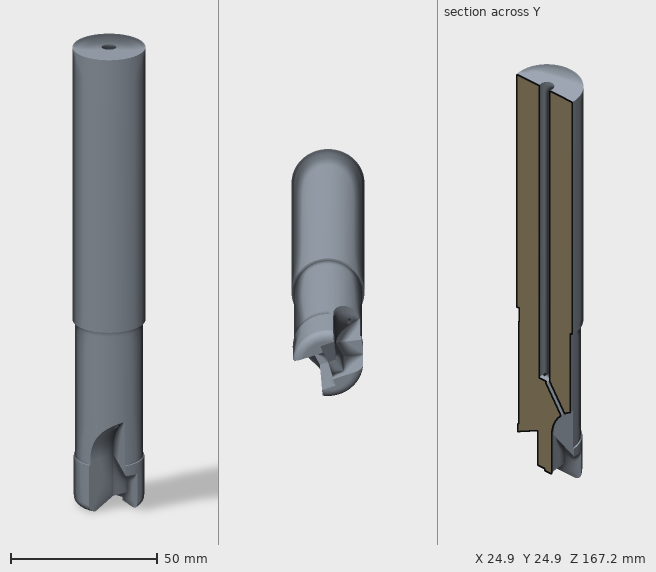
import cadquery as cq
import math

total_length = 167.2
shank_diameter = 24.9
neck_diameter = 23.0
head_diameter = 24.0
shank_bottom = 67.2
head_top = 17.5
nose_radius = 3.0

floor_offset = 5.5
floor_edge_y = -10.4
floor_tilt = 14
floor_top = 19.5
runout_top = 33.8
root_x = floor_offset + floor_edge_y * math.tan(math.radians(floor_tilt))

seat_depth = 5.2
seat_wall_tilt = 9
seat_inner_height = 17.5
seat_outer_height = 14.0
seat_roof_drop = 1.2

web_clearance = 3.5
seat_clearance = 4.3
relief_width = 7.7

bore_diameter = 5.0
bore_bottom = 41.8
branch_diameter = 2.0
branch_y = 1.3
branch_exit_x = 8.7
branch_exit_z = 30.0
branch_overrun = 1.2

cut_reach = shank_diameter


def make_body():
    head = cq.Workplane("XY").circle(head_diameter / 2).extrude(head_top)
    head = head.faces("<Z").edges().fillet(nose_radius)
    neck = cq.Workplane("XY").workplane(offset=head_top).circle(neck_diameter / 2)
    shank = cq.Workplane("XY").workplane(offset=shank_bottom).circle(shank_diameter / 2)
    return head.union(neck.extrude(shank_bottom - head_top)).union(shank.extrude(total_length - shank_bottom))


def make_flute():
    """Open the +X, -Y quadrant."""
    rise = runout_top - floor_top
    run = neck_diameter / 2 - root_x
    runout_radius = (rise**2 + run**2) / (2 * run)
    half_angle = math.asin(rise / runout_radius) / 2
    mid_x = root_x + runout_radius * (1 - math.cos(half_angle))
    mid_z = floor_top + runout_radius * math.sin(half_angle)
    channel = (
        cq.Workplane("XZ")
        .moveTo(root_x, 0)
        .lineTo(root_x, floor_top)
        .threePointArc((mid_x, mid_z), (neck_diameter / 2, runout_top))
        .lineTo(cut_reach, runout_top)
        .lineTo(cut_reach, 0)
        .close()
        .extrude(cut_reach, both=True)
        .rotate((root_x, 0, 0), (root_x, 0, 1), floor_tilt)
    )
    front_half = cq.Workplane("XY").box(4 * cut_reach, 2 * cut_reach, 2 * shank_bottom)
    front_half = front_half.translate((0, -cut_reach, 0))
    return channel.intersect(front_half)


def seat_outline(y, drop):
    """Wire of the seat at depth y; its roof falls outwards along X."""
    slope = (seat_inner_height - seat_outer_height) / (head_diameter / 2 - floor_offset)
    outer_height = seat_inner_height - slope * (cut_reach - floor_offset)
    wall_x = root_x + y * math.tan(math.radians(seat_wall_tilt))
    inner_height = seat_inner_height - slope * (wall_x - floor_offset)
    points = [
        cq.Vector(wall_x, y, 0),
        cq.Vector(cut_reach, y, 0),
        cq.Vector(cut_reach, y, outer_height - drop),
        cq.Vector(wall_x, y, inner_height - drop),
    ]
    return cq.Wire.makePolygon(points, close=True)


def make_seat():
    """Insert seat behind the flute wall, with its roof lower towards the back."""
    outlines = [seat_outline(0, 0), seat_outline(seat_depth, seat_roof_drop)]
    return cq.Workplane(cq.Solid.makeLoft(outlines, True))


def make_web_relief():
    """Clearance below the +X half of the web, sloping away on the flute side."""
    return (
        cq.Workplane("YZ")
        .moveTo(-relief_width, 0)
        .lineTo(0, web_clearance)
        .lineTo(seat_depth, seat_clearance)
        .lineTo(seat_depth, 0)
        .close()
        .extrude(cut_reach)
    )


def make_branch():
    """Angled coolant hole from the bore into the flute run-out."""
    start = cq.Vector(branch_y, -branch_y, bore_bottom)
    path = cq.Vector(branch_exit_x, -branch_y, branch_exit_z) - start
    hole = cq.Solid.makeCylinder(branch_diameter / 2, path.Length * branch_overrun, start, path)
    return cq.Workplane(hole)


result = make_body()
for make_cutter in (make_flute, make_seat, make_web_relief, make_branch):
    cutter = make_cutter()
    for angle in (0, 180):
        result = result.cut(cutter.rotate((0, 0, 0), (0, 0, 1), angle))

bore = (
    cq.Workplane("XY")
    .workplane(offset=bore_bottom)
    .circle(bore_diameter / 2)
    .extrude(total_length - bore_bottom)
)
result = result.cut(bore)